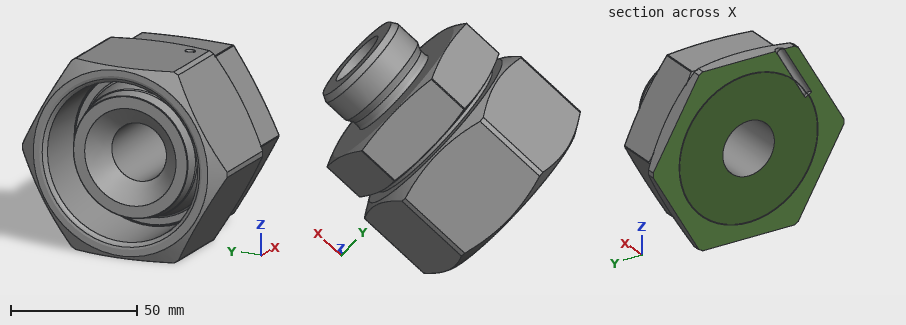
import cadquery as cq
import math


NUT_LENGTH = 40.1
NUT_FLATS = 79.0
NUT_CORNERS = 90.0
NUT_FACE_DIA = 76.7
NUT_CHAMFER_ANGLE = 30.0
NUT_THREAD_DIA = 66.0
NUT_REAR_BORE_DIA = 65.25
NUT_THREAD_LENGTH = 26.1
MOUTH_DIA = 71.3
MOUTH_LIP_DIA = 69.1
MOUTH_LIP_DEPTH = 0.3
MOUTH_CONE_DIA = 67.7
MOUTH_CONE_DEPTH = 0.8
MOUTH_DEPTH = 1.8

WIRE_HOLE_DIA = 3.3
WIRE_HOLE_MOUTH_DIA = 3.5
WIRE_HOLE_MOUTH_DEPTH = 1.3
WIRE_HOLE_X = 32.9
WIRE_HOLE_ANGLE = 30.0

COLLAR_DIA = 65.0
COLLAR_FACE_X = 25.65
COLLAR_CHAMFER = 0.4
COLLAR_FILLET = 0.6

NOSE_FACE_X = 8.9
NOSE_DIA = 49.9
NOSE_CHAMFER = 0.3
NOSE_BASE_DIA = 57.0
NOSE_FLARE_DIA = 58.5
NOSE_FLARE_LENGTH = 0.6
BORE_DIA = 24.0
BORE_MOUTH_DIA = 40.1
BORE_CONE_LENGTH = (BORE_MOUTH_DIA - BORE_DIA) / 2

HEX_X = 41.9
HEX_LENGTH = 21.0
HEX_FLATS = 69.75
HEX_CORNERS = 80.3
HEX_FACE_DIA = 69.3
HEX_CHAMFER_ANGLE = 16.0
HEX_END_X = HEX_X + HEX_LENGTH

TOTAL_LENGTH = 83.0
STUD_DIA = 42.0
STUD_TIP_DIA = 39.1
STUD_TIP_CHAMFER = 2.7
STUD_START_X = 69.75
NECK_DIA = 38.9
NECK_END_X = 66.6
NECK_FILLET_LENGTH = 1.2
NECK_FILLET_HEIGHT = 0.4
NECK_FLARE_LENGTH = 0.5
NECK_FLARE_HEIGHT = 0.2

SEAL_SECTION = 2.7
SEAL_DIA = 52.9


def turned(outline):
    """Solid turned about the X axis from (x, radius) points."""
    return cq.Workplane("XY").polyline(outline).close().revolve(360, (0, 0, 0), (1, 0, 0))


def ring(x, centre_dia, section_dia):
    """Round-section ring about the X axis."""
    return (
        cq.Workplane("XY")
        .center(x, centre_dia / 2)
        .circle(section_dia / 2)
        .revolve(360, (0, -centre_dia / 2, 0), (1, -centre_dia / 2, 0))
    )


def chamfered_hexagon(x, length, flats, corners, face_dia, angle):
    """Hexagonal prism along X, flats facing +Z and -Z, with both ends turned conical."""
    prism = (
        cq.Workplane("YZ", origin=(x, 0, 0))
        .polygon(6, flats / math.cos(math.radians(30)))
        .extrude(length)
    )
    end_radius = face_dia / 2
    corner_radius = corners / 2
    setback = (corner_radius - end_radius) * math.tan(math.radians(angle))
    envelope = turned([
        (x, 0),
        (x, end_radius),
        (x + setback, corner_radius),
        (x + length - setback, corner_radius),
        (x + length, end_radius),
        (x + length, 0),
    ])
    return prism.intersect(envelope)


def make_wire_hole():
    """Hole that starts tangent to the collar and leaves, slightly wider, through the top of the nut."""
    angle = math.radians(WIRE_HOLE_ANGLE)
    start_height = COLLAR_DIA / 2 * math.sin(angle)
    axis_length = (NUT_FLATS / 2 - start_height) / math.cos(angle)
    return (
        cq.Workplane("XY", origin=(WIRE_HOLE_X, -COLLAR_DIA / 2, 0))
        .circle(WIRE_HOLE_DIA / 2)
        .extrude(axis_length)
        .faces(">Z")
        .workplane(offset=-WIRE_HOLE_MOUTH_DEPTH)
        .circle(WIRE_HOLE_MOUTH_DIA / 2)
        .extrude(WIRE_HOLE_MOUTH_DEPTH + WIRE_HOLE_MOUTH_DIA)
        .rotate((0, 0, 0), (1, 0, 0), -WIRE_HOLE_ANGLE)
    )


def seal_x():
    """Axial place of the seal, on the tapered part of the nose."""
    taper = (SEAL_DIA - NOSE_DIA) / (NOSE_BASE_DIA - NOSE_DIA)
    return NOSE_FACE_X + taper * (COLLAR_FACE_X - NOSE_FACE_X) - SEAL_SECTION / 2


def make_seal():
    return ring(seal_x(), SEAL_DIA - SEAL_SECTION, SEAL_SECTION)


def make_nut():
    blank = chamfered_hexagon(
        0, NUT_LENGTH, NUT_FLATS, NUT_CORNERS, NUT_FACE_DIA, NUT_CHAMFER_ANGLE
    )
    bore = turned([
        (0, 0),
        (0, MOUTH_DIA / 2),
        (MOUTH_LIP_DEPTH, MOUTH_LIP_DIA / 2),
        (MOUTH_CONE_DEPTH, MOUTH_CONE_DIA / 2),
        (MOUTH_DEPTH, NUT_THREAD_DIA / 2),
        (NUT_THREAD_LENGTH, NUT_THREAD_DIA / 2),
        (NUT_THREAD_LENGTH, NUT_REAR_BORE_DIA / 2),
        (NUT_LENGTH, NUT_REAR_BORE_DIA / 2),
        (NUT_LENGTH, 0),
    ])
    return blank.cut(bore).cut(make_wire_hole())


def make_nose_and_collar():
    collar_radius = COLLAR_DIA / 2
    fillet = COLLAR_FILLET
    arc_offset = fillet * (1 - math.sqrt(0.5))
    return (
        cq.Workplane("XY")
        .moveTo(NOSE_FACE_X, 0)
        .lineTo(NOSE_FACE_X, NOSE_DIA / 2)
        .lineTo(NOSE_FACE_X + NOSE_CHAMFER, NOSE_DIA / 2 + NOSE_CHAMFER)
        .lineTo(COLLAR_FACE_X - NOSE_FLARE_LENGTH, NOSE_BASE_DIA / 2)
        .lineTo(COLLAR_FACE_X, NOSE_FLARE_DIA / 2)
        .lineTo(COLLAR_FACE_X, collar_radius - COLLAR_CHAMFER)
        .lineTo(COLLAR_FACE_X + COLLAR_CHAMFER, collar_radius)
        .lineTo(HEX_X - fillet, collar_radius)
        .threePointArc(
            (HEX_X - arc_offset, collar_radius + arc_offset), (HEX_X, collar_radius + fillet)
        )
        .lineTo(HEX_X, 0)
        .close()
        .revolve(360, (0, 0, 0), (1, 0, 0))
    )


def make_stud():
    neck_radius = NECK_DIA / 2
    return turned([
        (HEX_END_X, 0),
        (HEX_END_X, neck_radius + NECK_FILLET_HEIGHT),
        (HEX_END_X + NECK_FILLET_LENGTH, neck_radius),
        (NECK_END_X, neck_radius),
        (NECK_END_X + NECK_FLARE_LENGTH, neck_radius + NECK_FLARE_HEIGHT),
        (STUD_START_X, STUD_DIA / 2),
        (TOTAL_LENGTH - STUD_TIP_CHAMFER, STUD_DIA / 2),
        (TOTAL_LENGTH, STUD_TIP_DIA / 2),
        (TOTAL_LENGTH, 0),
    ])


def make_adapter():
    hexagon = chamfered_hexagon(
        HEX_X, HEX_LENGTH, HEX_FLATS, HEX_CORNERS, HEX_FACE_DIA, HEX_CHAMFER_ANGLE
    )
    bore = turned([
        (NOSE_FACE_X, 0),
        (NOSE_FACE_X, BORE_MOUTH_DIA / 2),
        (NOSE_FACE_X + BORE_CONE_LENGTH, BORE_DIA / 2),
        (TOTAL_LENGTH, BORE_DIA / 2),
        (TOTAL_LENGTH, 0),
    ])
    outside = make_nose_and_collar().union(hexagon).union(make_stud())
    return outside.cut(bore).cut(make_wire_hole()).cut(make_seal())


nut = make_nut()
adapter = make_adapter()
nose_seal = make_seal()

result = cq.Compound.makeCompound([
    nut.val(),
    adapter.val(),
    nose_seal.val(),
])